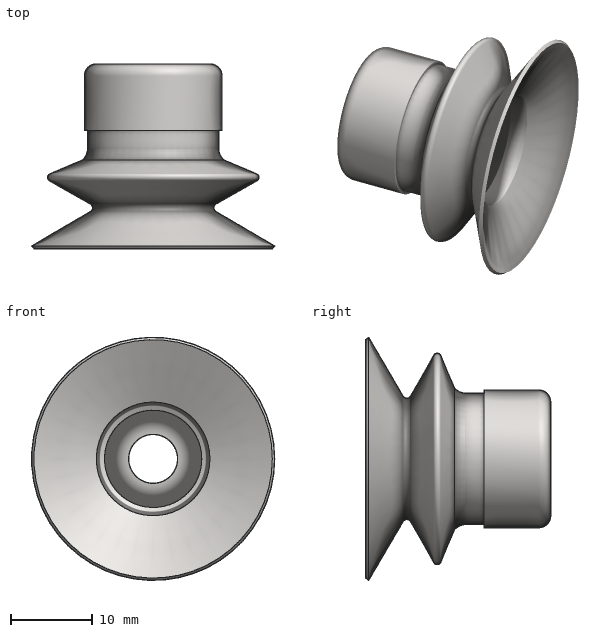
import cadquery as cq

total_height = 22.83

lip_radius = 15.0
lip_bevel_radial = 0.3
lip_bevel_height = 0.35

waist_radius = 7.5
waist_edge_radius = 7.68
waist_start = 4.65
waist_end = 5.5
waist_middle = (waist_start + waist_end) / 2

crest_radius = 13.05
crest_edge_radius = 12.8
crest_start = 8.4
crest_end = 9.25
crest_middle = (crest_start + crest_end) / 2
shoulder_radius = 8.7
shoulder_height = 10.98

neck_radius = 8.1
neck_start = 12.3
neck_blend_radius = 2.0
collar_radius = 17.0 / 2
collar_start = 14.6
collar_rounding = 1.5

throat_radius = 14.0 / 2
throat_start = 3.55
throat_end = 5.8
cavity_radius = 10.8
cavity_crest_start = 8.65
cavity_crest_end = 9.2
bore_radius = 6.0
bore_start = 11.35
floor_thickness = 2.0
hole_radius = 3.0


def outer_body():
    """Solid outer shape: lip, waist, bellows fold, neck and collar."""
    profile = (
        cq.Workplane("XY")
        .lineTo(lip_radius - lip_bevel_radial, 0)
        .lineTo(lip_radius, lip_bevel_height)
        .lineTo(waist_edge_radius, waist_start)
        .threePointArc((waist_radius, waist_middle), (waist_edge_radius, waist_end))
        .lineTo(crest_edge_radius, crest_start)
        .threePointArc((crest_radius, crest_middle), (crest_edge_radius, crest_end))
        .lineTo(shoulder_radius, shoulder_height)
        .radiusArc((neck_radius, neck_start), neck_blend_radius)
        .lineTo(neck_radius, collar_start)
        .lineTo(collar_radius, collar_start)
        .lineTo(collar_radius, total_height)
        .lineTo(0, total_height)
        .close()
    )
    body = profile.revolve(360, (0, 0), (0, 1))
    return body.faces(">Y").edges().fillet(collar_rounding)


def interior():
    """Inner void: lip cone, throat, bellows cavity, bore and through hole."""
    floor_height = total_height - floor_thickness
    profile = (
        cq.Workplane("XY")
        .lineTo(lip_radius - lip_bevel_radial, 0)
        .lineTo(throat_radius, throat_start)
        .lineTo(throat_radius, throat_end)
        .lineTo(cavity_radius, cavity_crest_start)
        .lineTo(cavity_radius, cavity_crest_end)
        .lineTo(bore_radius, bore_start)
        .lineTo(bore_radius, floor_height)
        .lineTo(hole_radius, floor_height)
        .lineTo(hole_radius, total_height)
        .lineTo(0, total_height)
        .close()
    )
    return profile.revolve(360, (0, 0), (0, 1))


result = outer_body().cut(interior())